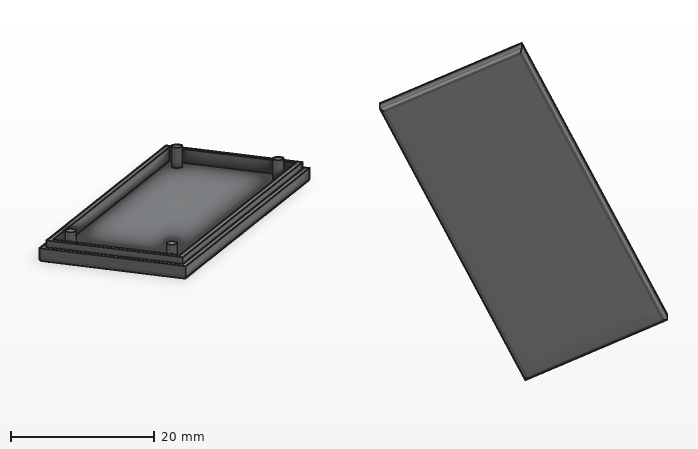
import cadquery as cq

length_x = 22.0
length_y = 47.2
base_height = 2.0
bottom_fillet = 0.5

lip_inset = 0.75
lip_wall = 0.75
lip_height = 1.0
floor_thickness = 1.0

pin_diameter = 1.5
pin_spacing_x = 15.2
pin_spacing_y = 40.6
total_height = 4.0


def centred_block(inset, bottom, top):
    """Block with its sides set in from the plate outline, between two heights."""
    return (
        cq.Workplane("XY")
        .workplane(offset=bottom)
        .rect(length_x - 2 * inset, length_y - 2 * inset)
        .extrude(top - bottom)
    )


def make_base():
    """Plate with a rounded bottom edge."""
    return centred_block(inset=0, bottom=0, top=base_height).faces("<Z").edges().fillet(bottom_fillet)


def make_pins():
    """Four pins standing on the tray floor."""
    return (
        cq.Workplane("XY")
        .workplane(offset=floor_thickness)
        .rect(pin_spacing_x, pin_spacing_y, forConstruction=True)
        .vertices()
        .circle(pin_diameter / 2)
        .extrude(total_height - floor_thickness)
    )


lip_top = base_height + lip_height
lip = centred_block(lip_inset, base_height, lip_top)
tray = centred_block(lip_inset + lip_wall, floor_thickness, lip_top)

result = make_base().union(lip).cut(tray).union(make_pins())